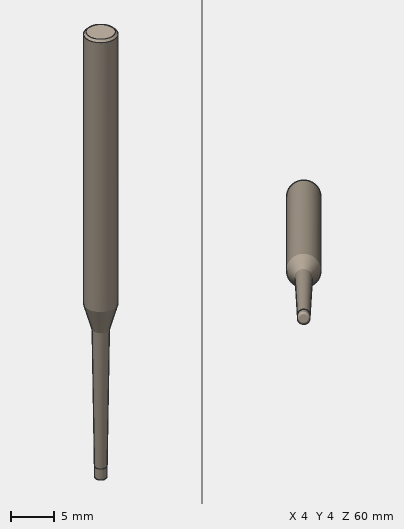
import cadquery as cq

total_length = 60.0
shank_radius = 6 / 3
shank_bottom = 23.45
shank_chamfer = 0.3

neck_top = 20.05
neck_top_radius = 2.05 / 2
neck_bottom_radius = 1.5 / 2

head_length = 1.6
head_radius = 1.5 / 2
head_top_radius = 1.45 / 2
head_corner_radius = 0.3


def turn(profile):
    """Revolve a closed profile, drawn in the -Y half of the YZ plane, about Z."""
    return profile.revolve(360, (0, 0, 0), (0, 1, 0))


def make_holder():
    """Shank with its chamfered end, cone and tapered neck."""
    profile = (
        cq.Workplane("YZ")
        .moveTo(0, head_length)
        .lineTo(-neck_bottom_radius, head_length)
        .lineTo(-neck_top_radius, neck_top)
        .lineTo(-shank_radius, shank_bottom)
        .lineTo(-shank_radius, total_length - shank_chamfer)
        .lineTo(-(shank_radius - shank_chamfer), total_length)
        .lineTo(0, total_length)
        .close()
    )
    return turn(profile)


def make_head():
    """Cutting head, relieved towards the neck, with a rounded lower corner."""
    profile = (
        cq.Workplane("YZ")
        .lineTo(-(head_radius - head_corner_radius), 0)
        .radiusArc((-head_radius, head_corner_radius), head_corner_radius)
        .lineTo(-head_top_radius, head_length)
        .lineTo(0, head_length)
        .close()
    )
    return turn(profile)


holder = make_holder()
head = make_head()

result = cq.Compound.makeCompound([holder.val(), head.val()])